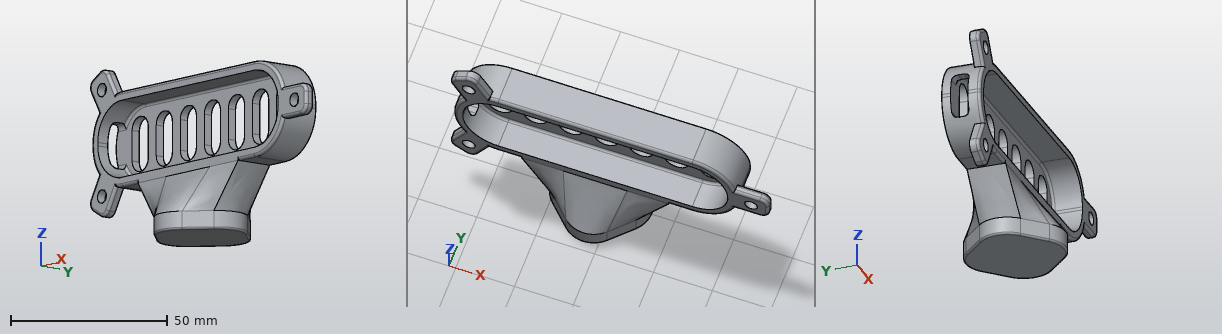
import cadquery as cq
import math


housing_length = 96.0
housing_height = 31.1
housing_depth = 13.2
housing_corner_radius = 15.0
wall = 3.0
rim_fillet = 1.0
floor_fillet = 0.9

grille_count = 7
grille_pitch = 12.0
grille_width = 8.0
grille_height = 17.9

cable_slot_width = 5.9
cable_slot_height = 15.0
cable_slot_radius = 1.9
cable_slot_length = 17.3

tab_width = 10.0
tab_thickness = 3.2
tab_reach = 25.9
tab_corner_radius = 3.0
tab_hole_reach = 20.0
tab_hole_diameter = 4.3
left_tab_angle = 120

duct_root_length = 49.9
duct_height = 14.9
collar_height = 5.9
collar_side = 30.0
collar_corner_radius = 9.9
collar_center_y = 5.9
collar_fillet = 0.6
collar_turn = 45

arc_center_x = housing_length / 2 - housing_corner_radius
floor_y = housing_depth - wall
duct_top_z = -housing_height / 2
duct_bottom_z = duct_top_z - duct_height


def rounded_prism(length, height, radius, depth):
    """Rounded rectangle in XZ, extruded from y = 0 toward +Y."""
    block = cq.Workplane("XY").box(length, depth, height)
    block = block.edges("|Y").fillet(radius)
    return block.translate((0, depth / 2, 0))


def make_tab(center_x, angle, round_back):
    """Tab lying along +X, then turned about the arc centre by angle (from +X toward +Z)."""
    tab = cq.Workplane("XY").box(tab_reach, tab_thickness, tab_width)
    tab = tab.edges("|Y and >X").fillet(tab_corner_radius)
    if round_back:
        tab = tab.faces(">Y").edges("not <X").fillet(rim_fillet)
    tab = tab.translate((tab_reach / 2, tab_thickness / 2, 0))
    return tab.rotate((0, 0, 0), (0, 1, 0), -angle).translate((center_x, 0, 0))


def tab_hole(center_x, angle):
    """Cutter for the screw hole of one tab."""
    x = center_x + tab_hole_reach * math.cos(math.radians(angle))
    z = tab_hole_reach * math.sin(math.radians(angle))
    hole = cq.Workplane("XZ").center(x, z).circle(tab_hole_diameter / 2)
    return hole.extrude(-tab_thickness)


def make_duct():
    """Funnel from the housing underside to a square collar turned by collar_turn degrees."""
    collar_flat = collar_side - 2 * collar_corner_radius
    collar_arc = collar_corner_radius * math.pi / 2
    middle_share = collar_arc / (collar_arc + 2 * collar_flat)
    root_end_x = duct_root_length / 2
    root_split_x = root_end_x * middle_share
    root_points = [
        (-root_end_x, 0),
        (-root_split_x, 0),
        (root_split_x, 0),
        (root_end_x, 0),
        (root_end_x, housing_depth),
        (root_split_x, housing_depth),
        (-root_split_x, housing_depth),
        (-root_end_x, housing_depth),
    ]
    root = cq.Workplane("XY").workplane(offset=duct_top_z).polyline(root_points).close().val()

    collar = (
        cq.Workplane("XY")
        .rect(collar_side, collar_side)
        .extrude(collar_height)
        .edges("|Z")
        .fillet(collar_corner_radius)
        .rotate((0, 0, 0), (0, 0, 1), collar_turn)
        .translate((0, collar_center_y, duct_bottom_z - collar_height))
    )
    mouth = collar.faces(">Z").wires().val()
    collar = collar.faces("<Z").edges().fillet(collar_fillet)
    funnel = cq.Workplane(cq.Solid.makeLoft([root, mouth], True))
    return collar.union(funnel)


tabs = [
    (arc_center_x, 0, True),
    (-arc_center_x, left_tab_angle, False),
    (-arc_center_x, -left_tab_angle, False),
]

body = rounded_prism(housing_length, housing_height, housing_corner_radius, housing_depth)
for center_x, angle, round_back in tabs:
    body = body.union(make_tab(center_x, angle, round_back))
body = body.faces("<Y").edges().fillet(rim_fillet)

rim_strip = (
    cq.Workplane("XY")
    .box(duct_root_length, wall, wall, centered=(True, False, False))
    .translate((0, 0, duct_top_z))
)
body = body.union(rim_strip).union(make_duct())

cavity = rounded_prism(
    housing_length - 2 * wall,
    housing_height - 2 * wall,
    housing_corner_radius - wall,
    floor_y,
)
body = body.cut(cavity.faces(">Y").edges().fillet(floor_fillet))

grille = (
    cq.Workplane("XZ", origin=(0, floor_y, 0))
    .rarray(grille_pitch, 1.1, grille_count, 1)
    .slot2D(grille_height, grille_width, 90)
    .extrude(-wall)
)
body = body.cut(grille)

cable_slot = (
    cq.Workplane("XY")
    .box(cable_slot_length, cable_slot_width, cable_slot_height)
    .edges("|X")
    .fillet(cable_slot_radius)
    .translate((-housing_length / 2, floor_y - cable_slot_width / 2, 0))
)
body = body.cut(cable_slot)

for center_x, angle, _ in tabs:
    body = body.cut(tab_hole(center_x, angle))

result = body